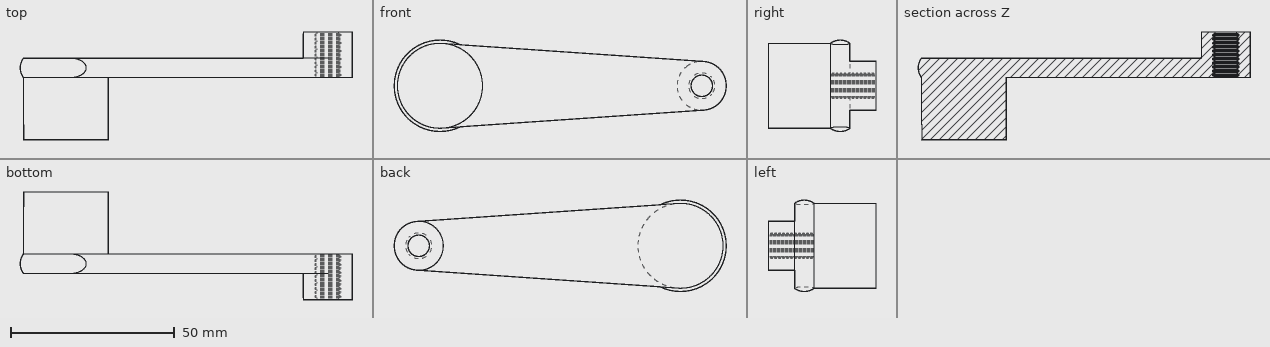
import cadquery as cq

knob_radius = 13.0
rim_radius = 14.0
pin_radius = 7.5
overall_length = 101.5
knob_length = 19.0
arm_thickness = 6.0
pin_length = 8.0

hole_radius = 3.2
thread_outer_radius = 4.0
thread_pitch = 1.2
crest_width = thread_pitch / 8
root_width = thread_pitch / 4
first_groove_depth = 0.8

knob_x = rim_radius
pin_x = overall_length - pin_radius
arm_front = knob_length
arm_back = arm_front + arm_thickness
pin_back = arm_back + pin_length


def cylinder_y(x, radius, y_start, y_end):
    """Solid cylinder along Y, centred on Z = 0."""
    return (
        cq.Workplane("XZ", origin=(x, y_start, 0))
        .circle(radius)
        .extrude(y_start - y_end)
    )


def make_arm():
    """Plate tapering from the knob diameter to the pin diameter."""
    outline = [
        (knob_x, knob_radius),
        (pin_x, pin_radius),
        (pin_x, -pin_radius),
        (knob_x, -knob_radius),
    ]
    return (
        cq.Workplane("XZ", origin=(0, arm_front, 0))
        .polyline(outline)
        .close()
        .extrude(-arm_thickness)
    )


def make_rim():
    """Disc with a bulging edge, as thick as the arm."""
    return (
        cq.Workplane("XY", origin=(knob_x, 0, 0))
        .moveTo(0, arm_front)
        .lineTo(knob_radius, arm_front)
        .threePointArc((rim_radius, (arm_front + arm_back) / 2), (knob_radius, arm_back))
        .lineTo(0, arm_back)
        .close()
        .revolve(360, (0, 0), (0, 1))
    )


def make_thread_groove(y_center):
    """Ring with a trapezoidal section, widest at the hole wall."""
    half_mouth = (thread_pitch - crest_width) / 2
    half_root = root_width / 2
    section = [
        (0, y_center - half_mouth),
        (hole_radius, y_center - half_mouth),
        (thread_outer_radius, y_center - half_root),
        (thread_outer_radius, y_center + half_root),
        (hole_radius, y_center + half_mouth),
        (0, y_center + half_mouth),
    ]
    return (
        cq.Workplane("XY", origin=(pin_x, 0, 0))
        .polyline(section)
        .close()
        .revolve(360, (0, 0), (0, 1))
    )


knob = cylinder_y(knob_x, knob_radius, 0, arm_front)
pin = cylinder_y(pin_x, pin_radius, arm_front, pin_back)
result = make_arm().union(make_rim()).union(knob).union(pin)

result = result.cut(cylinder_y(pin_x, hole_radius, arm_front, pin_back))
groove_count = int((pin_back - arm_front) / thread_pitch)
for index in range(groove_count):
    result = result.cut(make_thread_groove(arm_front + first_groove_depth + index * thread_pitch))